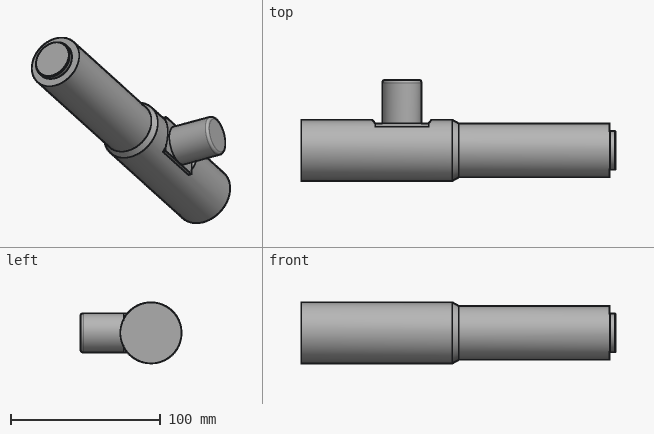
import cadquery as cq

TOTAL_LENGTH = 210.2
WIDE_DIAMETER = 41.0
WIDE_RADIUS = WIDE_DIAMETER / 2
NARROW_RADIUS = 18.0
TAPER_START = 101.0
TAPER_END = 105.3
NARROW_END = 206.0
TIP_RADIUS = 13.0
TIP_CHAMFER = 0.6

STUB_X = 67.3
STUB_DIAMETER = 26.3
STUB_RADIUS = STUB_DIAMETER / 2
OVERALL_DEPTH = 67.7
STUB_REACH = OVERALL_DEPTH - WIDE_RADIUS
STUB_ROUNDING = 1.9
PAD_LEVEL = NARROW_RADIUS
PAD_LENGTH = 35.7
RECESS_FLARE = 1.9


def cylinder_x(start, end, radius):
    return cq.Workplane("YZ", origin=(start, 0, 0)).circle(radius).extrude(end - start)


def make_barrel():
    """Wide grip, conical shoulder and narrow section as one revolved profile."""
    profile = (
        cq.Workplane("XY")
        .moveTo(0, 0)
        .lineTo(0, WIDE_RADIUS)
        .lineTo(TAPER_START, WIDE_RADIUS)
        .lineTo(TAPER_END, NARROW_RADIUS)
        .lineTo(NARROW_END, NARROW_RADIUS)
        .lineTo(NARROW_END, 0)
        .close()
    )
    return profile.revolve(360, (0, 0, 0), (1, 0, 0))


def make_tip():
    """Short end disc with both rims chamfered."""
    return cylinder_x(NARROW_END, TOTAL_LENGTH, TIP_RADIUS).edges("%CIRCLE").chamfer(TIP_CHAMFER)


def make_recess():
    """Cutter with sloping ends that flattens the barrel down to the pad level."""
    half_floor = PAD_LENGTH / 2
    half_mouth = half_floor + RECESS_FLARE
    outline = [
        (STUB_X - half_floor, PAD_LEVEL),
        (STUB_X + half_floor, PAD_LEVEL),
        (STUB_X + half_mouth, WIDE_RADIUS),
        (STUB_X - half_mouth, WIDE_RADIUS),
    ]
    return cq.Workplane("XY").polyline(outline).close().extrude(WIDE_RADIUS, both=True)


def make_pad():
    """Rectangular pad, as tall as the stub, that stands out where the barrel curves away."""
    return cq.Workplane("XY").box(
        PAD_LENGTH, PAD_LEVEL, 2 * STUB_RADIUS, centered=(True, False, True)
    ).translate((STUB_X, 0, 0))


def make_stub():
    """Round side stub with a rounded outer rim."""
    stub = cq.Workplane("XZ", origin=(STUB_X, 0, 0)).circle(STUB_RADIUS).extrude(-STUB_REACH)
    return stub.faces(">Y").edges().fillet(STUB_ROUNDING)


barrel = make_barrel().cut(make_recess())
result = barrel.union(make_tip()).union(make_pad()).union(make_stub())